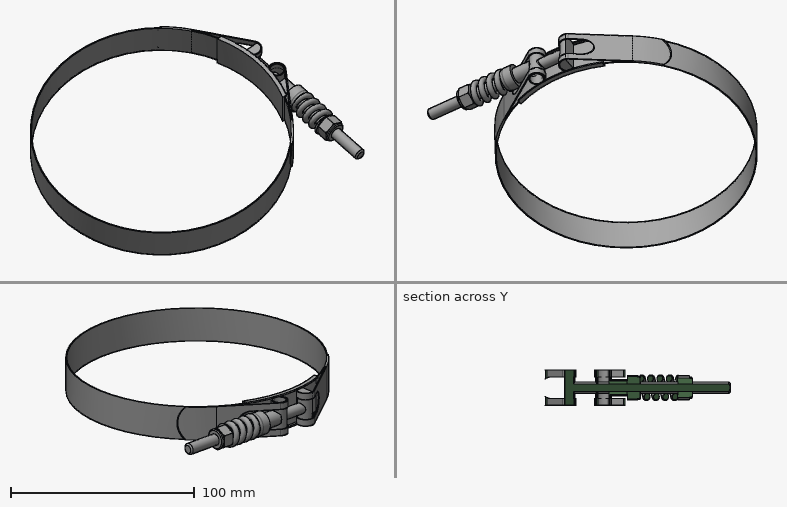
import cadquery as cq
import math

band_outer_radius = 71.3
band_thickness = 0.6
band_width = 19.3
lap_end_angle = 142.5
lap_tip_radius = 15.3
lap_tip_y = 43.7

loop_x = 10.0
bolt_axis_y = 75.0

slot_width = 11.7
left_slot_end_x = 24.2
right_slot_end_x = 31.5

bridge_inner_radius = 69.6
bridge_outer_radius = 72.2
bridge_width = 21.2
bridge_length = 54.1

rod_radius = 3.2
rod_end_x = 79.0
rod_chamfer = 0.9
head_flat_offset = 1.2

cross_tube_thickness = 0.6
sleeve_start_x = 12.3
sleeve_radius = 4.5
cup_start_x = 23.0
cup_radius = 6.6
cup_taper_length = 1.8
cup_taper_depth = 0.5

spring_start_x = 30.0
spring_end_x = 50.5
spring_outer_radius = 7.0
wire_radius = 1.7
spring_turns = 4
spring_start_angle = 230
ground_turns = 0.25

nut_across_flats = 11.5
nut_hex_length = 6.5
nut_collar_length = 1.5
nut_collar_chamfer = 0.6
nut_corner_chamfer = 0.5

band_inner_radius = band_outer_radius - band_thickness
band_mid_radius = band_outer_radius - band_thickness / 2
lap_outer_radius = band_outer_radius + band_thickness

loop_distance = math.hypot(loop_x, bolt_axis_y)
loop_mid_radius = loop_distance - band_mid_radius
loop_inner_radius = loop_mid_radius - band_thickness / 2
loop_outer_radius = loop_mid_radius + band_thickness / 2
loop_angle = math.degrees(math.atan2(bolt_axis_y, -loop_x))

strap_angle = loop_angle + math.degrees(
    math.acos((lap_outer_radius - loop_outer_radius) / loop_distance)
)

nut_sides = 6
nut_corner_diameter = nut_across_flats / math.cos(math.pi / nut_sides)
nut_hex_end_x = spring_end_x + nut_hex_length
nut_end_x = nut_hex_end_x + nut_collar_length

clear = 2 * band_outer_radius


def polar(center, radius, angle):
    """Point at an angle in degrees on a circle in the XY plane."""
    a = math.radians(angle)
    return (center[0] + radius * math.cos(a), center[1] + radius * math.sin(a))


def arc_strip(center, inner, outer, start, end, width):
    """Curved strip between two radii and two angles, centred on Z = 0."""
    middle = (start + end) / 2
    return (
        cq.Workplane("XY")
        .moveTo(*polar(center, outer, start))
        .threePointArc(polar(center, outer, middle), polar(center, outer, end))
        .lineTo(*polar(center, inner, end))
        .threePointArc(polar(center, inner, middle), polar(center, inner, start))
        .close()
        .extrude(width / 2, both=True)
    )


def disc(center, radius, width):
    """Cylinder along Z, centred on Z = 0."""
    return cq.Workplane("XY").center(*center).circle(radius).extrude(width / 2, both=True)


def bolt_plane(x):
    """Plane across the bolt axis at X = x, with its local X axis along +Z."""
    return cq.Workplane(cq.Plane(origin=(x, bolt_axis_y, 0), xDir=(0, 0, 1), normal=(1, 0, 0)))


def axial_cylinder(start_x, end_x, radius):
    """Cylinder on the bolt axis."""
    return bolt_plane(start_x).circle(radius).extrude(end_x - start_x)


def folded_end(slot_end_x):
    """Left end of the band: loop, straight strap and lap, with its slot and tip."""
    center = (-loop_x, bolt_axis_y)
    loop = arc_strip(
        center, loop_inner_radius, loop_outer_radius, loop_angle - 180, strap_angle, band_width
    )
    strap = (
        cq.Workplane("XY")
        .polyline([
            polar(center, loop_outer_radius, strap_angle),
            polar((0, 0), lap_outer_radius, strap_angle),
            polar((0, 0), band_outer_radius, strap_angle),
            polar(center, loop_inner_radius, strap_angle),
        ])
        .close()
        .extrude(band_width / 2, both=True)
    )
    lap = arc_strip(
        (0, 0), band_outer_radius, lap_outer_radius, strap_angle, lap_end_angle, band_width
    )
    lap = lap.intersect(lap_tip())
    return loop.union(strap).union(lap).cut(rod_slot(slot_end_x))


def lap_tip():
    """Prism along X whose lower end is the rounded tip of the lap."""
    half_width = band_width / 2
    rise = lap_tip_radius - math.sqrt(lap_tip_radius**2 - half_width**2)
    return (
        cq.Workplane("YZ")
        .moveTo(bolt_axis_y, -half_width)
        .lineTo(lap_tip_y + rise, -half_width)
        .threePointArc((lap_tip_y, 0), (lap_tip_y + rise, half_width))
        .lineTo(bolt_axis_y, half_width)
        .close()
        .extrude(-clear)
    )


def rod_slot(end_x):
    """Round-ended slot through loop and strap, kept outside the ring."""
    half_width = slot_width / 2
    slot = (
        cq.Workplane("XZ")
        .moveTo(0, half_width)
        .lineTo(-end_x + half_width, half_width)
        .threePointArc((-end_x, 0), (-end_x + half_width, -half_width))
        .lineTo(0, -half_width)
        .close()
        .extrude(-clear)
    )
    return slot.cut(disc((0, 0), band_outer_radius, band_width))


def make_band():
    """Ring open at the top, with a folded loop at each end."""
    ring_end_angle = 360 + (180 - loop_angle)
    ring = arc_strip(
        (0, 0), band_inner_radius, band_outer_radius, loop_angle, ring_end_angle, band_width
    )
    left_end = folded_end(left_slot_end_x)
    right_end = folded_end(right_slot_end_x).mirror("YZ")
    return ring.union(left_end).union(right_end)


def make_bridge():
    """Curved channel under the gap of the band, with a flange on each side of it."""
    blank = disc((0, 0), bridge_outer_radius, bridge_width)
    blank = blank.cut(disc((0, 0), bridge_inner_radius, bridge_width))
    channel = disc((0, 0), bridge_outer_radius, band_width)
    channel = channel.cut(disc((0, 0), band_inner_radius, band_width))
    span = cq.Workplane("XY").box(
        bridge_length, bridge_outer_radius, bridge_width, centered=(True, False, True)
    )
    return blank.cut(channel).intersect(span)


def make_t_bolt():
    """Rod with a D-shaped head that fills the left loop."""
    flat_x = -loop_x - head_flat_offset
    head = disc((-loop_x, bolt_axis_y), loop_inner_radius, band_width)
    behind_flat = cq.Workplane("XY").box(
        clear, clear, band_width, centered=(False, True, True)
    ).translate((flat_x - clear, bolt_axis_y, 0))
    rod = axial_cylinder(-loop_x, rod_end_x, rod_radius).faces(">X").chamfer(rod_chamfer)
    return head.cut(behind_flat).union(rod)


def make_sleeve():
    """Thin cross tube that lines the right loop, with a sleeve along the bolt."""
    center = (loop_x, bolt_axis_y)
    inside = disc(center, loop_inner_radius - cross_tube_thickness, band_width)
    cross_tube = disc(center, loop_inner_radius, band_width)
    sleeve = axial_cylinder(sleeve_start_x, cup_start_x, sleeve_radius)
    bore = axial_cylinder(loop_x - loop_outer_radius, cup_start_x, rod_radius)
    return cross_tube.union(sleeve).cut(inside).cut(bore)


def make_cup():
    """Spring seat with a slight taper at its spring end."""
    cup = axial_cylinder(cup_start_x, spring_start_x, cup_radius)
    cup = cup.faces(">X").edges().chamfer(cup_taper_length, cup_taper_depth)
    return cup.cut(axial_cylinder(cup_start_x, spring_start_x, rod_radius))


def make_spring():
    """Left-handed coil with both ends ground flat."""
    length = spring_end_x - spring_start_x
    pitch = length / spring_turns
    coil_radius = spring_outer_radius - wire_radius
    helix = cq.Wire.makeHelix(
        pitch, length + 2 * ground_turns * pitch, coil_radius, lefthand=True
    )
    coil = (
        cq.Workplane("XZ", origin=(coil_radius, 0, 0))
        .circle(wire_radius)
        .sweep(cq.Workplane(obj=helix), isFrenet=True)
        .rotate((0, 0, 0), (0, 0, 1), spring_start_angle + 360 * ground_turns)
        .rotate((0, 0, 0), (0, 1, 0), 90)
        .translate((spring_start_x - ground_turns * pitch, bolt_axis_y, 0))
    )
    return coil.intersect(axial_cylinder(spring_start_x, spring_end_x, 2 * spring_outer_radius))


def make_nut():
    """Hexagon nut with a corner towards +Z, chamfered corners and a round collar."""
    hexagon = bolt_plane(spring_end_x).polygon(nut_sides, nut_corner_diameter).extrude(nut_hex_length)
    rounding = axial_cylinder(spring_end_x, nut_hex_end_x, nut_corner_diameter / 2)
    rounding = rounding.edges().chamfer(nut_corner_chamfer)
    collar = axial_cylinder(nut_hex_end_x, nut_end_x, nut_across_flats / 2)
    collar = collar.faces(">X").chamfer(nut_collar_chamfer)
    bore = axial_cylinder(spring_end_x, nut_end_x, rod_radius)
    return hexagon.intersect(rounding).union(collar).cut(bore)


band = make_band()
bridge = make_bridge()
t_bolt = make_t_bolt()
sleeve = make_sleeve()
cup = make_cup()
spring = make_spring()
nut = make_nut()

result = cq.Compound.makeCompound([
    band.solids().val(),
    bridge.solids().val(),
    t_bolt.solids().val(),
    sleeve.solids().val(),
    cup.solids().val(),
    spring.solids().val(),
    nut.solids().val(),
])